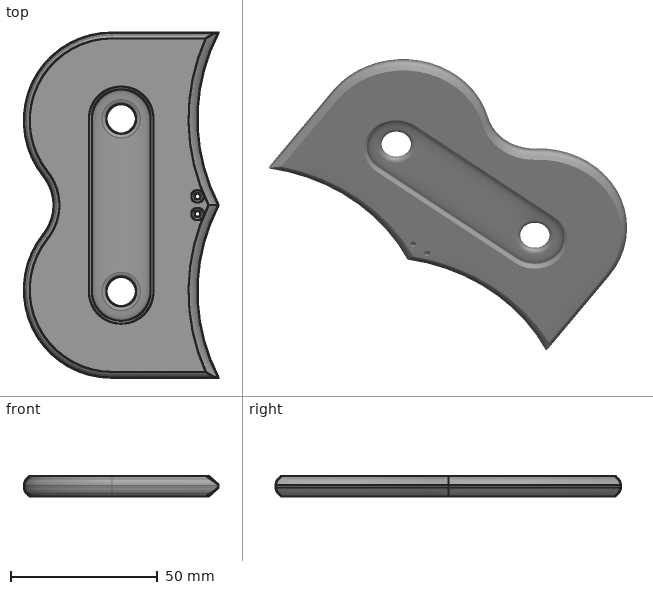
import cadquery as cq
import math

LENGTH = 117.5
WIDTH = 66.2
THICKNESS = 7.0
HALF_LENGTH = LENGTH / 2
HALF_THICKNESS = THICKNESS / 2
OVERRUN = 5.9

LOBE_RADIUS = 30.0
NECK_DEPTH = 10.1
LEFT = -WIDTH / 2
LOBE_X = LEFT + LOBE_RADIUS
LOBE_Y = HALF_LENGTH - LOBE_RADIUS

RIGHT = WIDTH / 2
SCALLOP_DEPTH = 7.2
BEVEL_WIDTH = 3.0
SCALLOP_Y = LENGTH / 4
SCALLOP_RADIUS = (SCALLOP_Y**2 + SCALLOP_DEPTH**2) / (2 * SCALLOP_DEPTH)
SCALLOP_X = RIGHT - SCALLOP_DEPTH + SCALLOP_RADIUS

RIM_CHAMFER = 2.0
RIM_RADIUS = 3.0

RECESS_WIDTH = 22.0
RECESS_DEPTH = 2.0
RECESS_BEVEL = RECESS_DEPTH / 2
RECESS_TAPER = 45.0
HALF_WEB = HALF_THICKNESS - RECESS_DEPTH
HOLE_SPACING = 58.7
HOLE_DIAMETER = 10.0

PIN_HOLE_DIAMETER = 2.0
PIN_SINK_DIAMETER = 4.2
PIN_HOLE_X = 26.0
PIN_HOLE_SPACING = 6.0
SINK_ANGLE = 90.0


def lobed_edge():
    """Open path along the top side, both lobes, the neck and the bottom side."""
    neck_x = LEFT + NECK_DEPTH
    rise = LOBE_X - neck_x
    neck_radius = (rise**2 + LOBE_Y**2 - LOBE_RADIUS**2) / (2 * (LOBE_RADIUS - rise))
    angle = math.atan2(LOBE_Y, rise + neck_radius)
    joint_x = LOBE_X - LOBE_RADIUS * math.cos(angle)
    joint_y = LOBE_Y - LOBE_RADIUS * math.sin(angle)
    diagonal = LOBE_RADIUS * math.sqrt(0.5)
    lobe_mid = (LOBE_X - diagonal, LOBE_Y + diagonal)
    return (
        cq.Workplane("XY")
        .moveTo(RIGHT + OVERRUN, HALF_LENGTH)
        .lineTo(LOBE_X, HALF_LENGTH)
        .threePointArc(lobe_mid, (joint_x, joint_y))
        .threePointArc((neck_x, 0), (joint_x, -joint_y))
        .threePointArc((lobe_mid[0], -lobe_mid[1]), (LOBE_X, -HALF_LENGTH))
        .lineTo(RIGHT + OVERRUN, -HALF_LENGTH)
    )


def rim_cutter():
    """Material outside the rounded rim, swept along the lobed edge."""
    corner_turn = math.radians(45)
    flat_z = HALF_THICKNESS - RIM_CHAMFER - RIM_RADIUS * math.tan(corner_turn / 2)
    slope_inset = RIM_RADIUS * (1 - math.cos(corner_turn))
    slope_z = flat_z + RIM_RADIUS * math.sin(corner_turn)
    bulge_inset = RIM_RADIUS * (1 - math.cos(corner_turn / 2))
    bulge_z = flat_z + RIM_RADIUS * math.sin(corner_turn / 2)
    margin = 1.2
    top_z = HALF_THICKNESS + margin
    top_inset = RIM_CHAMFER + margin
    profile = (
        cq.Workplane("YZ", origin=(RIGHT + OVERRUN, HALF_LENGTH, 0))
        .moveTo(margin, top_z)
        .lineTo(-top_inset, top_z)
        .lineTo(-slope_inset, slope_z)
        .threePointArc((-bulge_inset, bulge_z), (0, flat_z))
        .lineTo(0, -flat_z)
        .threePointArc((-bulge_inset, -bulge_z), (-slope_inset, -slope_z))
        .lineTo(-top_inset, -top_z)
        .lineTo(margin, -top_z)
        .close()
    )
    return profile.sweep(lobed_edge())


def scallop_cutter(y):
    """Waisted round body that cuts one scallop with its bevels."""
    face_radius = SCALLOP_RADIUS + BEVEL_WIDTH
    edge_z = HALF_THICKNESS - BEVEL_WIDTH
    return (
        cq.Workplane("XZ", origin=(SCALLOP_X, y, 0))
        .moveTo(0, -HALF_THICKNESS)
        .lineTo(face_radius, -HALF_THICKNESS)
        .lineTo(SCALLOP_RADIUS, -edge_z)
        .lineTo(SCALLOP_RADIUS, edge_z)
        .lineTo(face_radius, HALF_THICKNESS)
        .lineTo(0, HALF_THICKNESS)
        .close()
        .revolve(360, (0, 0), (0, 1))
    )


def recess_cutter():
    """Slot in the upper face: a bevelled mouth above straight walls."""
    mouth = (
        cq.Workplane("XY", origin=(0, 0, HALF_THICKNESS))
        .slot2D(HOLE_SPACING + RECESS_WIDTH, RECESS_WIDTH, 90)
        .extrude(-RECESS_BEVEL, taper=RECESS_TAPER)
    )
    floor_width = RECESS_WIDTH - 2 * RECESS_BEVEL
    pocket = (
        cq.Workplane("XY", origin=(0, 0, HALF_WEB))
        .slot2D(HOLE_SPACING + floor_width, floor_width, 90)
        .extrude(RECESS_DEPTH)
    )
    return mouth.union(pocket)


def mounting_hole_cutter(y):
    """Hole through the web whose wall is a full half-round between the recess floors."""
    hole_radius = HOLE_DIAMETER / 2
    mouth_radius = hole_radius + HALF_WEB
    return (
        cq.Workplane("XZ", origin=(0, y, 0))
        .moveTo(0, -HALF_WEB)
        .lineTo(mouth_radius, -HALF_WEB)
        .threePointArc((hole_radius, 0), (mouth_radius, HALF_WEB))
        .lineTo(0, HALF_WEB)
        .close()
        .revolve(360, (0, 0), (0, 1))
    )


plate = lobed_edge().close().extrude(HALF_THICKNESS, both=True)
plate = plate.cut(rim_cutter())
for side in (-1, 1):
    half_space = cq.Workplane("XY").box(WIDTH, HALF_LENGTH + OVERRUN, THICKNESS)
    half_space = half_space.translate((RIGHT, side * (HALF_LENGTH + OVERRUN) / 2, 0))
    plate = plate.cut(scallop_cutter(side * SCALLOP_Y).intersect(half_space))

upper_recess = recess_cutter()
plate = plate.cut(upper_recess).cut(upper_recess.mirror("XY"))
for side in (-1, 1):
    plate = plate.cut(mounting_hole_cutter(side * HOLE_SPACING / 2))

pin_points = [(PIN_HOLE_X, side * PIN_HOLE_SPACING / 2) for side in (-1, 1)]
result = (
    plate.copyWorkplane(cq.Workplane("XY", origin=(0, 0, HALF_THICKNESS)))
    .pushPoints(pin_points)
    .cskHole(PIN_HOLE_DIAMETER, PIN_SINK_DIAMETER, SINK_ANGLE)
)